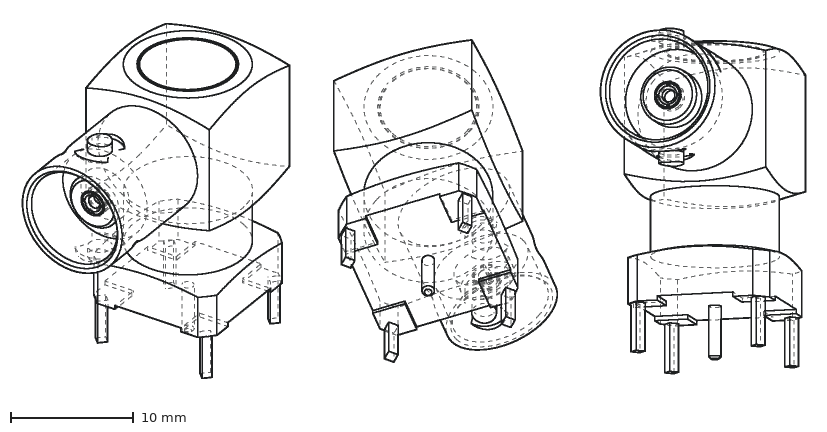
import cadquery as cq
import math


body_width = 12.0
total_height = 25.45
body_bottom = total_height - body_width
barrel_axis_z = total_height - body_width / 2
body_cone_angle = 20.0
cap_groove_radius = 4.05
cap_groove_depth = 0.1

neck_radius = 5.27
base_top = 8.53
base_bottom = 4.02
base_cone_angle = 15.0
base_corner_radius = 7.74
channel_width = 6.41
channel_depth = 0.35

leg_spacing = 10.18
leg_side = 0.85
leg_length = 5.1
center_pin_radius = 0.5
center_pin_chamfer = 0.2

barrel_radius = 4.85
barrel_length = 11.3
bore_front_radius = 4.17
bore_floor_radius = 4.1
bore_depth = 4.89
bore_mouth_radius = 4.43
bore_mouth_depth = 0.3
waist_width = 2.65
waist_depth = 0.15

lug_inset = 4.12
lug_radius = 1.02
lug_tip_radius = 5.55
spot_depth = 0.28
spot_floor_radius = 2.04
spot_rim_radius = 2.21

insulator_radius = 2.37
insulator_chamfer = 0.28
insulator_length = 1.83
contact_hole_radius = 1.12
contact_hole_depth = 1.02
contact_radius = 1.0
contact_bore_radius = 0.53
contact_mouth_radius = 0.76
contact_notch_width = 0.18
contact_notch_depth = 0.13

body_front = -body_width / 2
barrel_end = body_front - barrel_length
lug_y = barrel_end + lug_inset
bore_floor = barrel_end + bore_depth


def vertical_cylinder(radius, bottom, top):
    return cq.Workplane("XY").workplane(offset=bottom).circle(radius).extrude(top - bottom)


def barrel_cylinder(radius, front, back):
    """Cylinder on the barrel axis between two Y positions, front being the more negative."""
    plane = cq.Workplane("XZ", origin=(0, front, barrel_axis_z))
    return plane.circle(radius).extrude(front - back)


def barrel_cone(front_radius, back_radius, front, back):
    """Cone on the barrel axis between two Y positions."""
    points = [(0, front), (front_radius, front), (back_radius, back), (0, back)]
    profile = cq.Workplane("XY", origin=(0, 0, barrel_axis_z)).polyline(points).close()
    return profile.revolve(360, (0, 0, 0), (0, 1, 0))


def square_block(width, bottom, top):
    return cq.Workplane("XY").workplane(offset=bottom).rect(width, width).extrude(top - bottom)


def turned_blank(bottom, top, angle, cone_bottom):
    """Round blank wider than the body, with a shallow cone on top and optionally below."""
    reach = body_width
    drop = (reach - neck_radius) * math.tan(math.radians(angle))
    points = [(0, top), (neck_radius, top), (reach, top - drop)]
    if cone_bottom:
        points += [(reach, bottom + drop), (neck_radius, bottom), (0, bottom)]
    else:
        points += [(reach, bottom), (0, bottom)]
    return cq.Workplane("XZ").polyline(points).close().revolve(360, (0, 0, 0), (0, 1, 0))


def make_body():
    """Square block with conical top and bottom corners and a grooved cap on top."""
    blank = turned_blank(body_bottom, total_height, body_cone_angle, cone_bottom=True)
    body = square_block(body_width, body_bottom, total_height).intersect(blank)
    groove = (
        cq.Workplane("XZ", origin=(cap_groove_radius, 0, total_height))
        .moveTo(-cap_groove_depth, 0)
        .lineTo(0, -cap_groove_depth)
        .lineTo(cap_groove_depth, 0)
        .close()
        .revolve(360, (-cap_groove_radius, 0, 0), (-cap_groove_radius, 1, 0))
    )
    return body.cut(groove)


def make_base():
    """Square base with turned corners and two crossing channels that leave four feet."""
    blank = turned_blank(base_bottom, base_top, base_cone_angle, cone_bottom=False)
    base = square_block(body_width, base_bottom, base_top).intersect(blank)
    base = base.intersect(vertical_cylinder(base_corner_radius, base_bottom, base_top))
    for size in ((body_width, channel_width), (channel_width, body_width)):
        channel = cq.Workplane("XY", origin=(0, 0, base_bottom)).rect(*size)
        base = base.cut(channel.extrude(channel_depth))
    return base


def make_board_pins():
    """Round centre pin and four square legs turned by 45 degrees."""
    half = leg_spacing / 2
    pins = vertical_cylinder(center_pin_radius, 0, base_top).faces("<Z").chamfer(center_pin_chamfer)
    for x in (-half, half):
        for y in (-half, half):
            leg = cq.Workplane("XY").rect(leg_side, leg_side).extrude(leg_length)
            pins = pins.union(leg.rotate((0, 0, 0), (0, 0, 1), 45).translate((x, y, 0)))
    return pins


def make_waist_cutter():
    """Ring with an arc section that necks the barrel around the lugs."""
    half = waist_width / 2
    outside = barrel_radius + waist_depth
    return (
        cq.Workplane("XY", origin=(0, lug_y, barrel_axis_z))
        .moveTo(outside, -half)
        .lineTo(barrel_radius, -half)
        .threePointArc((barrel_radius - waist_depth, 0), (barrel_radius, half))
        .lineTo(outside, half)
        .close()
        .revolve(360, (0, 0, 0), (0, 1, 0))
    )


def make_spot_cutter():
    """Conical spot face under the upper lug."""
    floor_z = barrel_axis_z + barrel_radius - spot_depth
    return (
        cq.Workplane("XY", origin=(0, lug_y, floor_z))
        .circle(spot_floor_radius)
        .workplane(offset=spot_depth)
        .circle(spot_rim_radius)
        .loft()
    )


def mirrored_below(shape):
    return shape.mirror("XY", (0, 0, barrel_axis_z))


def make_barrel():
    """Bayonet barrel with waist, spot faces, two lugs and a tapered bore."""
    barrel = barrel_cylinder(barrel_radius, barrel_end, body_front)
    barrel = barrel.cut(make_waist_cutter())
    spot = make_spot_cutter()
    barrel = barrel.cut(spot).cut(mirrored_below(spot))
    lugs = cq.Workplane("XY", origin=(0, lug_y, barrel_axis_z)).circle(lug_radius)
    lugs = lugs.extrude(lug_tip_radius, both=True)
    lugs = lugs.intersect(barrel_cylinder(lug_tip_radius, barrel_end, body_front))
    barrel = barrel.union(lugs)
    mouth_back = barrel_end + bore_mouth_depth
    barrel = barrel.cut(barrel_cone(bore_mouth_radius, bore_front_radius, barrel_end, mouth_back))
    return barrel.cut(barrel_cone(bore_front_radius, bore_floor_radius, mouth_back, bore_floor))


def make_insulator():
    """Chamfered insulator boss holding a notched, countersunk socket contact."""
    front = bore_floor - insulator_length
    hole_floor = front + contact_hole_depth
    insulator = barrel_cylinder(insulator_radius, front, bore_floor).faces("<Y").chamfer(insulator_chamfer)
    insulator = insulator.cut(barrel_cylinder(contact_hole_radius, front, hole_floor))
    contact = barrel_cylinder(contact_radius, front, hole_floor)
    span = 2 * contact_radius
    for size in ((span, contact_notch_width), (contact_notch_width, span)):
        notch = cq.Workplane("XZ", origin=(0, front, barrel_axis_z)).rect(*size)
        contact = contact.cut(notch.extrude(-contact_hole_depth))
    contact = contact.union(barrel_cylinder(contact_radius - contact_notch_depth, front, hole_floor))
    contact = contact.cut(barrel_cylinder(contact_bore_radius, front, hole_floor))
    mouth_depth = contact_mouth_radius - contact_bore_radius
    contact = contact.cut(barrel_cone(contact_mouth_radius, contact_bore_radius, front, front + mouth_depth))
    return insulator.union(contact)


result = (
    make_body()
    .union(vertical_cylinder(neck_radius, base_top, body_bottom))
    .union(make_base())
    .union(make_board_pins())
    .union(make_barrel())
    .union(make_insulator())
)